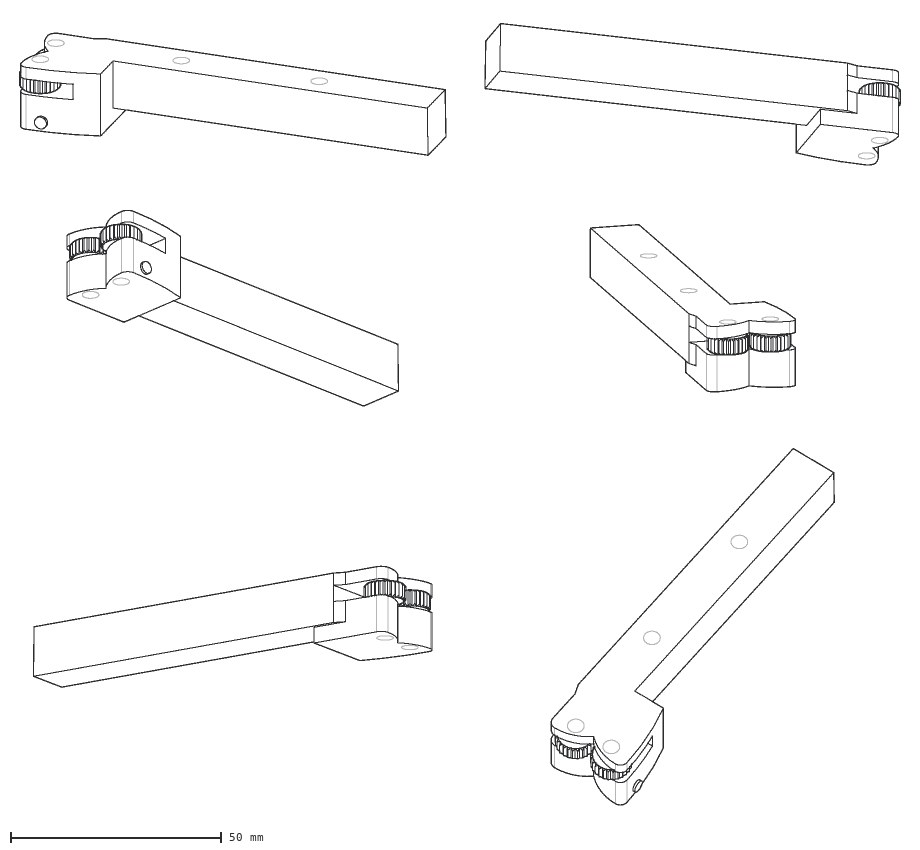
import cadquery as cq
import math


total_length = 101.5
shank_width = 12.0
shank_height = 12.2
shank_end_lean = 0.2
shank_ramp_start = 10.9
shank_ramp_length = 2.7
plug_diameter = 4.0
plug_depth = 2.0
plug_offsets = (15.0, 50.0)

head_length = 20.0
head_height = 16.0
head_half_width = 11.0
corner_radius = 2.0
notch_depth = 3.5
heel_taper = 2.5

slot_length = 13.6
slot_height = 4.0
slot_cover = 3.0

wheel_radius = 5.0
wheel_spacing = 10.5
wheel_overhang = 1.5
wheel_chamfer = 0.5
tooth_count = 26
tooth_depth = 0.6
axle_diameter = 4.0

screw_diameter = 3.0
screw_x = 5.9
screw_z = 2.4
screw_tip_y = -11.5
screw_root_y = -8.1

shank_bottom = head_height - shank_height
shank_end = total_length - wheel_overhang
slot_top = head_height - slot_cover
slot_bottom = slot_top - slot_height
axle_x = wheel_radius - wheel_overhang
axle_places = [(axle_x, side * wheel_spacing / 2) for side in (1, -1)]


def arc_midpoint(start, end, center):
    """Point halfway along the circular arc from start to end about center."""
    radius = math.dist(start, center)
    mid_x = (start[0] + end[0]) / 2 - center[0]
    mid_y = (start[1] + end[1]) / 2 - center[1]
    reach = radius / math.hypot(mid_x, mid_y)
    return (center[0] + mid_x * reach, center[1] + mid_y * reach)


def make_head():
    curve_y = head_half_width - corner_radius
    nose_radius = (notch_depth**2 + curve_y**2) / (2 * notch_depth)
    notch = (notch_depth, 0)
    upper_nose = (0, curve_y)
    lower_nose = (0, -curve_y)
    upper_mid = arc_midpoint(upper_nose, notch, (nose_radius, curve_y))
    lower_mid = (upper_mid[0], -upper_mid[1])

    side_run = head_length - corner_radius
    side_radius = (side_run**2 + heel_taper**2) / (2 * heel_taper)
    side_start = (corner_radius, -head_half_width)
    side_end = (head_length, heel_taper - head_half_width)
    side_center = (corner_radius, side_radius - head_half_width)
    side_mid = arc_midpoint(side_start, side_end, side_center)

    return (
        cq.Workplane("XY")
        .moveTo(head_length, head_half_width)
        .lineTo(corner_radius, head_half_width)
        .radiusArc(upper_nose, -corner_radius)
        .threePointArc(upper_mid, notch)
        .threePointArc(lower_mid, lower_nose)
        .radiusArc(side_start, -corner_radius)
        .threePointArc(side_mid, side_end)
        .close()
        .extrude(head_height)
    )


def make_shank():
    outline = [
        (shank_ramp_start, 0),
        (shank_end, 0),
        (shank_end, shank_width),
        (shank_ramp_start + shank_ramp_length, shank_width),
        (shank_ramp_start, head_half_width),
    ]
    shank = (
        cq.Workplane("XY", origin=(0, 0, shank_bottom))
        .polyline(outline)
        .close()
        .extrude(shank_height)
    )
    end_wedge = (
        cq.Workplane("XZ")
        .polyline([
            (shank_end, shank_bottom),
            (shank_end, head_height),
            (shank_end - shank_end_lean, head_height),
        ])
        .close()
        .extrude(-shank_width)
    )
    return shank.cut(end_wedge)


def make_slot():
    slot_width = 2 * shank_width
    return (
        cq.Workplane("XY", origin=(0, 0, slot_bottom))
        .box(slot_length, slot_width, slot_height, centered=(False, True, False))
    )


def make_set_screw():
    return (
        cq.Workplane("XZ", origin=(screw_x, screw_root_y, screw_z))
        .circle(screw_diameter / 2)
        .extrude(screw_root_y - screw_tip_y)
    )


def make_flush_pins(places, diameter, depth):
    """Upright pins whose tops are level with the top of the holder."""
    return (
        cq.Workplane("XY", origin=(0, 0, head_height))
        .pushPoints(places)
        .circle(diameter / 2)
        .extrude(-depth)
    )


def make_holder():
    holder = make_head().union(make_shank()).cut(make_slot()).union(make_set_screw())
    plug_places = [(head_length + offset, shank_width / 2) for offset in plug_offsets]
    axles = make_flush_pins(axle_places, axle_diameter, head_height)
    plugs = make_flush_pins(plug_places, plug_diameter, plug_depth)
    for pins in (axles, plugs):
        holder = holder.cut(pins, clean=False).union(pins, clean=False)
    return holder


def make_wheel(place):
    root_radius = wheel_radius - tooth_depth
    outline = []
    for step in range(2 * tooth_count):
        radius = wheel_radius if step % 2 == 0 else root_radius
        angle = math.pi * step / tooth_count
        outline.append((radius * math.cos(angle), radius * math.sin(angle)))
    toothed = cq.Workplane("XY").polyline(outline).close().extrude(slot_height)
    blank = cq.Workplane("XY").circle(wheel_radius).extrude(slot_height)
    chamfered_blank = blank.edges("%CIRCLE").chamfer(wheel_chamfer)
    wheel = toothed.intersect(chamfered_blank)
    bore = cq.Workplane("XY").circle(axle_diameter / 2).extrude(slot_height)
    return wheel.cut(bore).translate((*place, slot_bottom))


holder = make_holder()
wheels = [make_wheel(place) for place in axle_places]

result = cq.Compound.makeCompound([holder.val(), *[wheel.val() for wheel in wheels]])